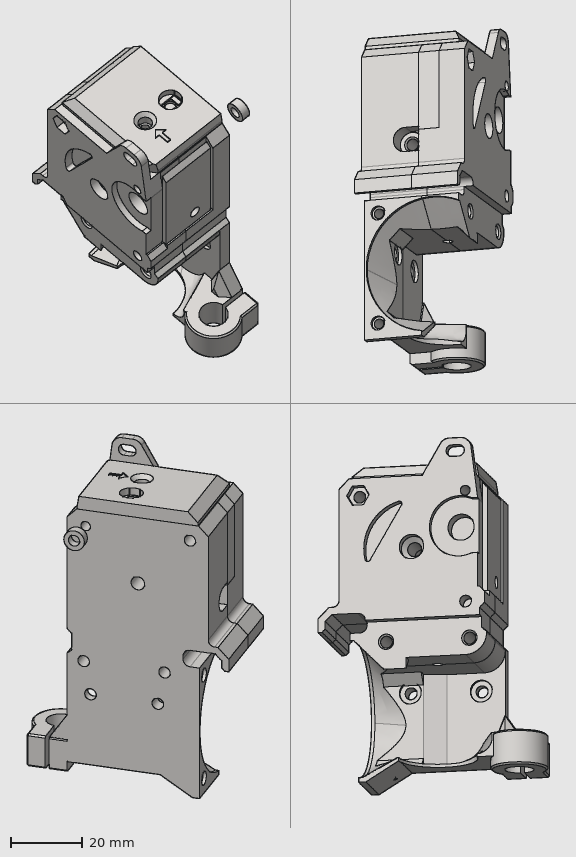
import cadquery as cq
import math


width = 41.95
seam_depth = 17.0
step_depth = 28.0
total_depth = 30.7
plate_thickness = total_depth - step_depth
deck_z = 84.5
ear_top_z = 94.88
edge_chamfer = 2.9
floor_bottom_z = 5.7
floor_top_z = 6.6
step_z = 43.5
cut_margin = 1.0

hook_x = -6.08
hook_tip_z = 40.6
hook_thickness = 2.1
hook_shoulder_z = 47.7
hook_corner_z = 44.5
hook_fillet = 1.9
hook_inner_run = 2.0
hook_inner_drop = 1.9
hook_tip_chamfer = 0.9
slot_top_z = 45.6
slot_bottom_z = 40.5
slot_end_x = 7.5
slot_corner_radius = 2.1

notch_depth = 1.4
notch_bottom_z = 40.5
notch_foot_z = 39.4

fan_face_x = 2.6
fan_center_depth = 20.0
fan_center_z = 20.6
fan_radius = 19.5
fan_rim = 1.0
fan_screw_pitch = 32.0
fan_screw_diameter = 2.8
fan_screw_bore_diameter = 4.03
fan_screw_bore_depth = 1.0
fan_screw_depth = 8.0
funnel_end_x = 14.3
funnel_half_depth = 13.9
funnel_top_z = 29.8
duct_lip_x = 4.7

wall_depth = 5.8
hotend_wall_depth = 3.8
ceiling_z = 32.8
ceiling_chamfer = 3.1
floor_chamfer = 1.9
duct_wall_end_x = 18.8
hotend_wall_x = 25.2
hotend_hole_radius = 11.3
ceiling_corner_radius = 6.0

filament_x = 25.4
filament_diameter = 2.8
filament_mouth_diameter = 6.4
filament_entry_diameter = 4.03

overall_length = 61.99
clamp_x = 47.82
clamp_depth = 11.9
clamp_radius = overall_length + hook_x - clamp_x
clamp_hole_diameter = 8.2
clamp_bottom_z = 2.5
clamp_top_z = 12.5
clamp_edge = 0.5
clamp_lug_end_x = 54.0
clamp_slit = 1.2
gusset_left_x = 38.9
gusset_top_z = 20.1
gusset_depth = 4.2
gusset_nose_depth = 6.8
gusset_nose_x = (41.8, 42.6, 44.3)
gusset_nose_top_z = 14.7
bracket_back_x = (26.8, 35.7)
bracket_front_x = (36.6, 40.9)

ear_foot_x = 24.0
ear_left_x = 30.1
ear_right_x = 37.7
ear_fillet = 3.0
plate_edge_x = 40.0
plate_edge_z = 77.2
ear_slot_x = 33.5
ear_slot_z = 91.2
ear_slot_length = 5.2
ear_slot_width = 3.3

idler_pocket_x = 39.2
idler_inner_x = 39.9
idler_outer_gap = 0.5
idler_back_gap = 0.4
idler_back = 6.5
idler_front = 24.3
idler_bottom_z = 51.8
door_bevel = 1.5

panel_thickness = 3.1
panel_front = 23.1
panel_bottom_z = 59.2

cap_left_x = 3.1
cap_right_x = 38.95
cap_height = 4.0
cap_band = 1.0
cap_left_slope = 2.95
cap_front_slope = 2.1
cap_right_slope = 0.5
cap_corner_cut = (4.0, 3.0)

nut_slot_place = (25.15, -6.9)
nut_slot_bore = 6.7
nut_slot_bore_depth = 2.2
nut_slot_size = (3.3, 6.1)
nut_slot_depth = 2.6
nut_square = 3.4
nut_square_depth = 3.0
arrow_tip_x = 29.6
arrow_head_length = 2.1
arrow_head_half = 2.1
arrow_shaft_end_x = 35.1
arrow_shaft_half = 0.6
arrow_depth = 0.3

nut_place = (5.45, 79.6)
nut_corner_diameter = 6.4
nut_depth = 2.5
nut_screw_diameter = 3.35
latch_place = (36.4, 79.55)
latch_hole_diameter = 2.8
motor_place = (20.9, 64.1)
motor_hole_diameter = 4.03
motor_bore_diameter = 7.0
motor_bore_depth = plate_thickness
bearing_place = (34.8, 69.4)
bearing_pocket_radius = 8.7
bearing_pocket_depth = 1.9
bearing_mouth_height = 15.8
bearing_bore_diameter = 7.52
bearing_bore_floor = idler_front
blind_place = (36.5, 47.6)
blind_diameter = 3.35
blind_depth = 5.0
cover_screw_places = [(13.0, 37.6), (37.0, 37.6)]
wall_screw_places = [(15.0, 27.6), (35.0, 27.6)]
screw_diameter = 3.4
cover_screw_mouth = 4.4
wall_screw_head = 6.3
wall_screw_head_depth = 1.0

crescent_radius = 13.75
crescent_top_angle = 98.2
crescent_bottom_angle = 200.8
crescent_fillet = 0.8

tension_depth = 13.0
tension_z = 56.6
tension_head_diameter = 7.0
tension_head_depth = 6.0
tension_slot_depth = 5.0
tension_mouth_diameter = 4.4

overall_depth = 41.0
ring_diameter = 6.1
ring_hole_diameter = 3.3
ring_thickness = 2.75
ring_back_y = overall_depth - total_depth


def front_prism(sketch, depth_from, depth_to):
    """Extrude an XZ outline between two distances in front of the back face."""
    return sketch.extrude(depth_to - depth_from).translate((0, -depth_from, 0))


def front_rod(place, diameter, depth_from, depth_to):
    """Cylinder along Y centred on (x, z)."""
    sketch = cq.Workplane("XZ").center(*place).circle(diameter / 2)
    return front_prism(sketch, depth_from, depth_to)


def side_rod(depth, z, diameter, x_from, x_to):
    """Cylinder along X."""
    sketch = cq.Workplane("YZ").center(-depth, z).circle(diameter / 2)
    return sketch.extrude(x_to - x_from).translate((x_from, 0, 0))


def box(x_from, x_to, depth_from, depth_to, z_from, z_to):
    size = (x_to - x_from, depth_to - depth_from, z_to - z_from)
    return cq.Workplane("XY").box(*size, centered=False).translate((x_from, -depth_to, z_from))


def cone(mouth_center, direction, mouth_diameter, end_diameter, depth):
    """Cone from a mouth that shrinks along a direction."""
    return cq.Workplane(cq.Solid.makeCone(
        mouth_diameter / 2, end_diameter / 2, depth, cq.Vector(*mouth_center), cq.Vector(*direction)))


def block_outline():
    """Front outline of the block, from the deck down to the duct floor."""
    notch_x = width - notch_depth
    foot = hook_x + hook_thickness
    return (
        cq.Workplane("XZ")
        .moveTo(edge_chamfer, deck_z)
        .lineTo(width - edge_chamfer, deck_z)
        .lineTo(width, deck_z - edge_chamfer)
        .lineTo(width, slot_top_z + notch_depth)
        .lineTo(notch_x, slot_top_z)
        .lineTo(notch_x, notch_bottom_z)
        .lineTo(width, notch_foot_z)
        .lineTo(width, floor_bottom_z)
        .lineTo(funnel_end_x, floor_bottom_z)
        .lineTo(duct_lip_x, 0)
        .lineTo(fan_face_x, 0)
        .lineTo(fan_face_x, slot_bottom_z)
        .lineTo(slot_end_x - slot_corner_radius, slot_bottom_z)
        .radiusArc((slot_end_x, slot_bottom_z + slot_corner_radius), -slot_corner_radius)
        .lineTo(slot_end_x, slot_top_z - slot_corner_radius)
        .radiusArc((slot_end_x - slot_corner_radius, slot_top_z), -slot_corner_radius)
        .lineTo(foot + hook_inner_run, slot_top_z)
        .lineTo(foot, slot_top_z - hook_inner_drop)
        .lineTo(foot, hook_tip_z + hook_tip_chamfer)
        .lineTo(foot - hook_tip_chamfer, hook_tip_z)
        .lineTo(hook_x, hook_tip_z)
        .lineTo(hook_x, hook_corner_z)
        .lineTo(hook_x + hook_shoulder_z - hook_corner_z, hook_shoulder_z)
        .lineTo(-hook_fillet, hook_shoulder_z)
        .radiusArc((0, hook_shoulder_z + hook_fillet), -hook_fillet)
        .lineTo(0, deck_z - edge_chamfer)
        .close()
    )


def funnel():
    """Round-to-oval fan funnel that drops to the chamber floor."""
    oval_half_height = (funnel_top_z - floor_top_z) / 2
    oval_center_z = floor_top_z + oval_half_height
    mouth_x = fan_face_x + fan_rim
    return (
        cq.Workplane("YZ", origin=(mouth_x, -fan_center_depth, fan_center_z))
        .ellipse(fan_radius, fan_radius)
        .workplane(offset=funnel_end_x - mouth_x)
        .center(0, oval_center_z - fan_center_z)
        .ellipse(funnel_half_depth, oval_half_height)
        .loft(ruled=True)
    )


def duct_void():
    """Fan rim, funnel, bevelled duct chamber, and hotend chamber with a rounded upper right corner."""
    far = total_depth + cut_margin
    duct_start_x = fan_face_x + fan_rim
    rim = side_rod(fan_center_depth, fan_center_z, 2 * fan_radius, fan_face_x - cut_margin, duct_start_x)
    duct = (
        cq.Workplane("YZ", origin=(duct_start_x, 0, 0))
        .polyline([
            (-far, floor_top_z),
            (-wall_depth - floor_chamfer, floor_top_z),
            (-wall_depth, floor_top_z + floor_chamfer),
            (-wall_depth, ceiling_z - ceiling_chamfer),
            (-wall_depth - ceiling_chamfer, ceiling_z),
            (-step_depth + ceiling_chamfer, ceiling_z),
            (-step_depth, ceiling_z - ceiling_chamfer),
            (-far, ceiling_z - ceiling_chamfer),
        ])
        .close()
        .extrude(duct_wall_end_x - duct_start_x)
    )
    hotend = (
        cq.Workplane("XY")
        .polyline([
            (duct_wall_end_x, -far),
            (duct_wall_end_x, -wall_depth),
            (hotend_wall_x, -hotend_wall_depth),
            (width + cut_margin, -hotend_wall_depth),
            (width + cut_margin, -far),
        ])
        .close()
        .extrude(ceiling_z - floor_top_z)
        .translate((0, 0, floor_top_z))
    )
    corner_x = width - ceiling_corner_radius
    corner_z = ceiling_z + ceiling_corner_radius
    corner = box(corner_x, width + cut_margin, hotend_wall_depth, far, ceiling_z - cut_margin, corner_z)
    corner = corner.cut(front_rod((corner_x, corner_z), 2 * ceiling_corner_radius, 0, far + cut_margin))
    return rim.union(funnel()).union(duct).union(hotend).union(corner)


def front_screw_holes():
    """Screw and latch holes that run through from front to back."""
    far = total_depth + cut_margin
    holes = front_rod(nut_place, nut_screw_diameter, -cut_margin, far)
    holes = holes.union(front_rod(latch_place, latch_hole_diameter, -cut_margin, far))
    holes = holes.union(front_rod(motor_place, motor_hole_diameter, -cut_margin, far))
    for place in cover_screw_places + wall_screw_places:
        holes = holes.union(front_rod(place, screw_diameter, -cut_margin, far))
    return holes


def filament_path():
    return (
        cq.Workplane("XY", origin=(filament_x, -seam_depth, 0))
        .circle(filament_diameter / 2)
        .extrude(ear_top_z)
    )


def door_slab(inner_x, outer_gap, back_depth):
    """Slab on the right wall; its outer face and bevel sit inside the block outline by the gap."""
    outer_x = width - outer_gap
    bevel_sum = width + deck_z - edge_chamfer - outer_gap
    sketch = (
        cq.Workplane("XZ")
        .moveTo(inner_x, idler_bottom_z)
        .lineTo(outer_x, idler_bottom_z)
        .lineTo(outer_x, bevel_sum - outer_x)
        .lineTo(inner_x, bevel_sum - inner_x)
        .close()
    )
    return front_prism(sketch, back_depth, idler_front)


def door_pocket():
    return box(idler_pocket_x, width, idler_back, idler_front, idler_bottom_z, deck_z)


def tension_hole():
    return side_rod(tension_depth, tension_z, screw_diameter, -cut_margin, width + cut_margin)


def clamp():
    """Round clamp for the probe with its straight lug."""
    ring = (
        cq.Workplane("XY", origin=(clamp_x, -clamp_depth, clamp_bottom_z))
        .circle(clamp_radius)
        .extrude(clamp_top_z - clamp_bottom_z)
    )
    ring = ring.faces(">Z or <Z").chamfer(clamp_edge)
    lug = box(clamp_x - clamp_radius, clamp_lug_end_x, 0, clamp_depth, clamp_bottom_z, clamp_top_z)
    lug = lug.edges(">X or (|X and >Y)").chamfer(clamp_edge)
    left_of_wall = box(0, width, 0, total_depth, 0, floor_bottom_z).union(
        box(0, width, 0, hotend_wall_depth, floor_bottom_z, clamp_top_z))
    return ring.union(lug.cut(left_of_wall))


def clamp_cutter():
    """Probe bore and the slit that lets the clamp close."""
    bore = (
        cq.Workplane("XY", origin=(clamp_x, -clamp_depth, 0))
        .circle(clamp_hole_diameter / 2)
        .extrude(ceiling_z)
    )
    slit = box(clamp_x - clamp_slit / 2, clamp_x + clamp_slit / 2, -cut_margin, clamp_depth, 0, clamp_top_z)
    return bore.union(slit)


def gusset():
    """Triangular rib over the clamp that narrows to a small nose in front."""
    nose_left_x, nose_peak_x, nose_right_x = gusset_nose_x
    wide = [(gusset_left_x, clamp_top_z), (width, gusset_top_z), (clamp_x - clamp_slit / 2, clamp_top_z)]
    nose = [(nose_left_x, clamp_top_z), (nose_peak_x, gusset_nose_top_z), (nose_right_x, clamp_top_z)]
    rib = front_prism(cq.Workplane("XZ").polyline(wide).close(), 0, gusset_depth)
    tip = (
        cq.Workplane("XZ", origin=(0, -gusset_depth, 0))
        .polyline(wide).close()
        .workplane(offset=gusset_nose_depth - gusset_depth)
        .polyline(nose).close()
        .loft(ruled=True)
    )
    return rib.union(tip)


def bracket():
    """Corner web between chamber floor and clamp, swept up from the floor in a concave arc."""
    def outline(sketch, foot_x, top_x):
        rise = clamp_top_z - floor_top_z
        run = top_x - foot_x
        radius = (run ** 2 + rise ** 2) / (2 * rise)
        return (
            sketch.moveTo(foot_x, floor_top_z)
            .radiusArc((top_x, clamp_top_z), -radius)
            .lineTo(width, clamp_top_z)
            .lineTo(width, floor_top_z)
            .close()
        )
    back = outline(cq.Workplane("XZ", origin=(0, -hotend_wall_depth, 0)), *bracket_back_x)
    joint = back.workplane(offset=seam_depth - hotend_wall_depth)
    return outline(joint, *bracket_front_x).loft(ruled=True)


def make_body():
    body = front_prism(block_outline(), 0, seam_depth)
    body = body.cut(duct_void())
    body = body.union(bracket()).union(clamp()).union(gusset())
    body = body.cut(clamp_cutter())
    hotend_hole = (
        cq.Workplane("XY", origin=(filament_x, -seam_depth, 0))
        .circle(hotend_hole_radius)
        .extrude(clamp_top_z)
    )
    body = body.cut(hotend_hole.cut(box(0, width, 0, hotend_wall_depth, 0, clamp_top_z)))
    body = body.cut(door_pocket()).cut(front_screw_holes()).cut(filament_path()).cut(tension_hole())

    head_radius = tension_head_diameter / 2
    head = side_rod(tension_depth, tension_z, tension_head_diameter, -cut_margin, tension_head_depth)
    body = body.cut(head)
    body = body.cut(box(-cut_margin, tension_slot_depth, tension_depth, seam_depth,
                        tension_z - head_radius, tension_z + head_radius))

    mouth_depth = (tension_mouth_diameter - screw_diameter) / 2
    body = body.cut(cone((tension_head_depth, -tension_depth, tension_z), (1, 0, 0),
                         tension_mouth_diameter, screw_diameter, mouth_depth))

    for place, face_depth in zip(wall_screw_places, (wall_depth, hotend_wall_depth)):
        body = body.cut(front_rod(place, wall_screw_head, face_depth - wall_screw_head_depth, face_depth))

    screw_depth = fan_center_depth - fan_screw_pitch / 2
    for side in (-1, 1):
        z = fan_center_z + side * fan_screw_pitch / 2
        body = body.cut(side_rod(screw_depth, z, fan_screw_diameter,
                                 fan_face_x, fan_face_x + fan_screw_depth))
        body = body.cut(side_rod(screw_depth, z, fan_screw_bore_diameter,
                                 fan_face_x, fan_face_x + fan_screw_bore_depth))
    return body


def ear():
    """Slanted ear that carries the front plate above the deck."""
    sketch = (
        cq.Workplane("XZ")
        .polyline([
            (ear_foot_x, deck_z),
            (ear_left_x, ear_top_z),
            (ear_right_x, ear_top_z),
            (plate_edge_x, plate_edge_z),
            (ear_foot_x, plate_edge_z),
        ])
        .close()
    )
    plate = front_prism(sketch, step_depth, total_depth).edges("|Y and >Z").fillet(ear_fillet)
    slot = cq.Workplane("XZ").center(ear_slot_x, ear_slot_z).slot2D(ear_slot_length, ear_slot_width)
    return plate.cut(front_prism(slot, step_depth - cut_margin, total_depth + cut_margin))


def door_clearance():
    """Space in front of the door, right of the slanted plate edge, with a bevel below it."""
    slant = (ear_right_x - plate_edge_x) / (ear_top_z - plate_edge_z)
    sketch = (
        cq.Workplane("XZ")
        .polyline([
            (plate_edge_x + slant * (deck_z - plate_edge_z), deck_z),
            (plate_edge_x, plate_edge_z),
            (plate_edge_x, idler_bottom_z),
            (width - door_bevel, idler_bottom_z),
            (width, idler_bottom_z - door_bevel),
            (width + cut_margin, idler_bottom_z - door_bevel),
            (width + cut_margin, deck_z),
        ])
        .close()
    )
    return front_prism(sketch, idler_front, total_depth + cut_margin)


def crescent():
    """Pocket between an arc about the motor hole and its chord."""
    def on_arc(angle):
        turn = math.radians(angle)
        return (motor_place[0] + crescent_radius * math.cos(turn),
                motor_place[1] + crescent_radius * math.sin(turn))
    middle_angle = (crescent_top_angle + crescent_bottom_angle) / 2
    sketch = (
        cq.Workplane("XZ")
        .moveTo(*on_arc(crescent_top_angle))
        .threePointArc(on_arc(middle_angle), on_arc(crescent_bottom_angle))
        .close()
    )
    return front_prism(sketch, step_depth, total_depth).edges("|Y").fillet(crescent_fillet)


def bearing_pocket():
    """Round pocket open to the right, with a bore in its floor."""
    floor_depth = total_depth - bearing_pocket_depth
    pocket = front_rod(bearing_place, 2 * bearing_pocket_radius, floor_depth, total_depth)
    half_mouth = bearing_mouth_height / 2
    mouth = box(bearing_place[0], width, floor_depth, total_depth,
                bearing_place[1] - half_mouth, bearing_place[1] + half_mouth)
    bore = front_rod(bearing_place, bearing_bore_diameter, bearing_bore_floor, total_depth)
    return pocket.union(mouth).union(bore)


def make_cover():
    cover = front_prism(block_outline(), seam_depth, total_depth)
    cover = cover.cut(box(0, width + cut_margin, step_depth, total_depth, 0, step_z))
    cover = cover.cut(box(-cut_margin, width + cut_margin, seam_depth, total_depth, -cut_margin,
                          ceiling_z - ceiling_chamfer))
    cover = cover.cut(duct_void())
    cover = cover.union(ear())
    cover = cover.cut(door_clearance()).cut(door_pocket()).cut(side_panel_block())
    cover = cover.cut(front_screw_holes()).cut(filament_path()).cut(tension_hole())
    cover = cover.cut(crescent()).cut(bearing_pocket())
    cover = cover.cut(front_rod(blind_place, blind_diameter, total_depth - blind_depth, total_depth))

    nut = cq.Workplane("XZ").center(*nut_place).polygon(6, nut_corner_diameter)
    cover = cover.cut(front_prism(nut, total_depth - nut_depth, total_depth))
    motor_floor_depth = total_depth - motor_bore_depth
    cover = cover.cut(front_rod(motor_place, motor_bore_diameter, motor_floor_depth, total_depth))
    motor_cone_depth = (motor_bore_diameter - motor_hole_diameter) / 2
    cover = cover.cut(cone((motor_place[0], -motor_floor_depth, motor_place[1]), (0, 1, 0),
                           motor_bore_diameter, motor_hole_diameter, motor_cone_depth))
    mouth_depth = (cover_screw_mouth - screw_diameter) / 2
    for x, z in cover_screw_places:
        cover = cover.cut(cone((x, -step_depth, z), (0, 1, 0),
                               cover_screw_mouth, screw_diameter, mouth_depth))
    return cover


def side_panel_block():
    """Panel let into the left wall of the cover, bevelled with the block."""
    block = box(0, panel_thickness, seam_depth, panel_front, panel_bottom_z, deck_z)
    return block.intersect(front_prism(block_outline(), seam_depth, panel_front))


def make_idler():
    return door_slab(idler_inner_x, idler_outer_gap, idler_back + idler_back_gap).cut(tension_hole())


def make_cap():
    top_z = deck_z + cap_height
    cap = box(cap_left_x, cap_right_x, 0, step_depth, deck_z, deck_z + cap_band)
    slope_height = cap_height - cap_band
    lower_corners = [(cap_left_x, 0), (cap_right_x, 0), (cap_right_x, -step_depth), (cap_left_x, -step_depth)]
    upper_left = cap_left_x + cap_left_slope
    upper_right = cap_right_x - cap_right_slope
    upper_front = -step_depth + cap_front_slope
    upper_corners = [(upper_left, 0), (upper_right, 0), (upper_right, upper_front), (upper_left, upper_front)]
    sloped = (
        cq.Workplane("XY", origin=(0, 0, deck_z + cap_band))
        .polyline(lower_corners).close()
        .workplane(offset=slope_height)
        .polyline(upper_corners).close()
        .loft(ruled=True)
    )
    corner_cut = (
        cq.Workplane("XY", origin=(cap_right_x, -step_depth, deck_z))
        .polyline([(0, 0), (-cap_corner_cut[0], 0), (0, cap_corner_cut[1])])
        .close()
        .extrude(cap_height)
    )
    cap = cap.union(sloped).cut(corner_cut).cut(filament_path())

    entry = cq.Workplane("XY", origin=(filament_x, -seam_depth, top_z))
    cap = cap.cut(entry.circle(filament_entry_diameter / 2).extrude(-cap_height))
    sink_depth = (filament_mouth_diameter - filament_entry_diameter) / 2
    cap = cap.cut(cone((filament_x, -seam_depth, top_z), (0, 0, -1),
                       filament_mouth_diameter, filament_entry_diameter, sink_depth))

    nut_slot = cq.Workplane("XY", origin=(*nut_slot_place, top_z))
    cap = cap.cut(nut_slot.circle(nut_slot_bore / 2).extrude(-nut_slot_bore_depth))
    cap = cap.cut(nut_slot.rect(*nut_slot_size).extrude(-nut_slot_depth))
    cap = cap.cut(nut_slot.rect(nut_slot_size[0], nut_square).extrude(-nut_square_depth))
    cap = cap.cut(nut_slot.circle(nut_slot_size[0] / 2).extrude(-cap_height))

    head_end_x = arrow_tip_x + arrow_head_length
    arrow = cq.Workplane("XY", origin=(0, -seam_depth, top_z)).polyline([
        (arrow_tip_x, 0),
        (head_end_x, arrow_head_half),
        (head_end_x, arrow_shaft_half),
        (arrow_shaft_end_x, arrow_shaft_half),
        (arrow_shaft_end_x, -arrow_shaft_half),
        (head_end_x, -arrow_shaft_half),
        (head_end_x, -arrow_head_half),
    ])
    return cap.cut(arrow.close().extrude(-arrow_depth))


def make_ring():
    outer = front_rod(latch_place, ring_diameter, -ring_back_y, ring_thickness - ring_back_y)
    return outer.cut(front_rod(latch_place, ring_hole_diameter, -ring_back_y, 0))


body = make_body()
cover = make_cover()
side_panel = side_panel_block()
idler = make_idler()
cap = make_cap()
spacer_ring = make_ring()

result = cq.Compound.makeCompound([
    body.val(), cover.val(), side_panel.val(), idler.val(), cap.val(), spacer_ring.val(),
])